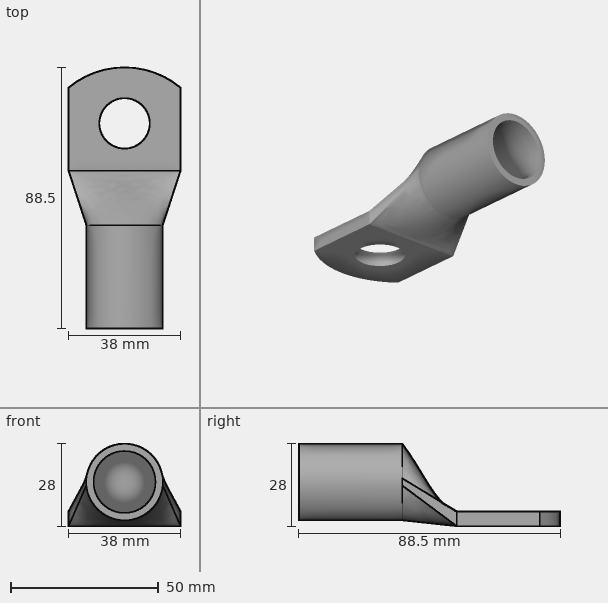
import cadquery as cq
import math

total_length = 88.5
barrel_length = 35.0
palm_length = 35.0

barrel_diameter = 26.0
bore_diameter = 21.0
bore_depth = barrel_length
barrel_axis_height = 15.0

palm_width = 38.0
palm_thickness = 5.0
tip_corner_drop = 6.9
stud_hole_diameter = 17.0
stud_hole_to_tip = 19.0

side_half_angle = 5.3

neck_steps = 4

neck_start_y = barrel_length
palm_start_y = total_length - palm_length
barrel_radius = barrel_diameter / 2
half_width = palm_width / 2


def make_barrel():
    """Round barrel with a bore that stops where the neck begins."""
    mouth = cq.Workplane("XZ", origin=(0, 0, barrel_axis_height))
    tube = mouth.circle(barrel_radius).extrude(-barrel_length)
    bore = mouth.circle(bore_diameter / 2).extrude(-bore_depth)
    return tube.cut(bore)


def make_palm():
    """Flat palm with straight sides, an arched tip and a stud hole."""
    corner_y = total_length - tip_corner_drop
    blank = (
        cq.Workplane("XY")
        .moveTo(-half_width, palm_start_y)
        .lineTo(half_width, palm_start_y)
        .lineTo(half_width, corner_y)
        .threePointArc((0, total_length), (-half_width, corner_y))
        .close()
        .extrude(palm_thickness)
    )
    stud_hole = (
        cq.Workplane("XY")
        .center(0, total_length - stud_hole_to_tip)
        .circle(stud_hole_diameter / 2)
        .extrude(palm_thickness)
    )
    return blank.cut(stud_hole)


def between(start, end, fraction):
    """Value a given fraction of the way from start to end."""
    return start + (end - start) * fraction


def neck_section(fraction):
    """Neck outline at a fraction of the way from the palm (0) to the barrel rim (1)."""
    side_angle = math.radians(side_half_angle)
    rim_half_width = barrel_radius * math.cos(side_angle)
    rim_side_half_height = barrel_radius * math.sin(side_angle)

    side_x = between(half_width, rim_half_width, fraction)
    side_top = between(palm_thickness, barrel_axis_height + rim_side_half_height, fraction)
    side_bottom = between(0, barrel_axis_height - rim_side_half_height, fraction)

    crown_rise = fraction**2 * (2 - fraction)
    crown = between(palm_thickness, barrel_axis_height + barrel_radius, crown_rise)
    keel = between(0, barrel_axis_height - barrel_radius, fraction)

    y = between(palm_start_y, neck_start_y, fraction)
    right_top = cq.Vector(side_x, y, side_top)
    left_top = cq.Vector(-side_x, y, side_top)
    left_bottom = cq.Vector(-side_x, y, side_bottom)
    right_bottom = cq.Vector(side_x, y, side_bottom)
    if fraction == 0:
        top = cq.Edge.makeLine(right_top, left_top)
        bottom = cq.Edge.makeLine(left_bottom, right_bottom)
    else:
        top = cq.Edge.makeThreePointArc(right_top, cq.Vector(0, y, crown), left_top)
        bottom = cq.Edge.makeThreePointArc(left_bottom, cq.Vector(0, y, keel), right_bottom)
    left = cq.Edge.makeLine(left_top, left_bottom)
    right = cq.Edge.makeLine(right_bottom, right_top)
    return cq.Wire.assembleEdges([top, left, bottom, right])


def make_neck():
    """Solid neck blending the rectangular palm end into the round barrel."""
    sections = [neck_section(i / neck_steps) for i in range(neck_steps + 1)]
    return cq.Workplane(cq.Solid.makeLoft(sections))


result = make_barrel().union(make_neck()).union(make_palm())